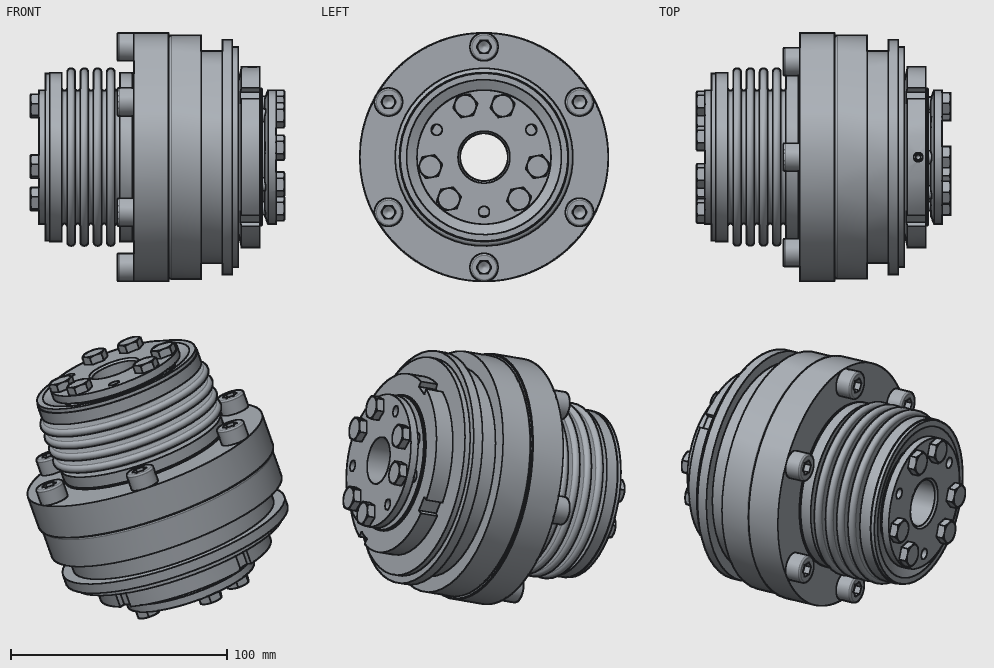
import cadquery as cq
import math

LENGTH = 117.5

HEAD_HEIGHT = 3.9
HEAD_FLATS = 10.0
HEAD_CHAMFER_ANGLE = 30
SCREW_DIAMETER = 6.0
SCREW_CIRCLE_RADIUS = 25.3
SCREW_ENGAGEMENT = 4.7
DISC_RADIUS = 31.0
DISC_RIM_WIDTH = 3.8
DISC_BACK_RADIUS = 27.3
DISC_BACK_TAPER = 1.4
JACK_HOLE_DIAMETER = 5.0
STEP_ANGLE = 40
LEFT_FIRST_ANGLE = 20
RIGHT_FIRST_ANGLE = 0
LEFT_HEX_TURN = -10
RIGHT_HEX_TURN = 30

SLEEVE_RADIUS = 20.7
BORE_DIAMETER = 22.0
BORE_CHAMFER = 1.0

HUB_START = 6.9
HUB_STEP = 8.8
HUB_END = 14.6
HUB_RADIUS = 39.1
HUB_LIP_RADIUS = 38.8
RECESS_MOUTH_RADIUS = 35.8
RECESS_FLOOR_RADIUS = 27.3
RECESS_DEPTH = 3.6

WAVE_COUNT = 4
CREST_BEND = 1.9
ROOT_BEND = 1.2
CREST_RADIUS = 41.1
ROOT_RADIUS = 30.8
BELLOWS_END = HUB_END + 2 * WAVE_COUNT * CREST_BEND + 2 * (WAVE_COUNT + 1) * ROOT_BEND

COLLAR_END = 47.0
FLANGE_START = 47.8
FLANGE_END = 64.0
FLANGE_RADIUS = 115.0 / 2
FLANGE_CHAMFER = 0.4
DRUM_END = 79.0
DRUM_RADIUS = 56.4
DRUM_FILLET = 1.0
NECK_END = 88.7
NECK_RADIUS = 49.1
PLATE_END = 93.4
PLATE_RADIUS = 54.4
COVER_END = 96.1
COVER_RADIUS = 51.0

NUT_START = 97.5
NUT_END = 106.1
NUT_RADIUS = 41.8
NUT_CONE_SMALL_RADIUS = 35.0
NUT_CONE_LARGE_RADIUS = 41.2
NUT_SLOT_COUNT = 4
NUT_SLOT_WIDTH = 7.2
NUT_SLOT_DEPTH = 2.9
SPIGOT_END = 107.2
SPIGOT_RADIUS = 31.8
SPIGOT_CHAMFER = 0.5
GRUB_POSITION = 102.6
GRUB_DIAMETER = 4.2
GRUB_RECESS = 0.2
GRUB_SOCKET_FLATS = 2.5
GRUB_SOCKET_DEPTH = 1.4

FLANGE_SCREW_COUNT = 6
CAP_DIAMETER = 13.0
CAP_HEIGHT = 7.6
CAP_FILLET = 0.8
CAP_CIRCLE_RADIUS = FLANGE_RADIUS - CAP_DIAMETER / 2
CAP_SOCKET_FLATS = 6.0
CAP_SOCKET_DEPTH = 3.5

DRILL_POINT_ANGLE = 118


def plane_across(x, y=0.0, z=0.0):
    """Plane facing +X, with its local x axis along +Y and its local y axis along +Z."""
    return cq.Plane(origin=(x, y, z), xDir=(0, 1, 0), normal=(1, 0, 0))


def cylinder(start, end, radius, y=0.0, z=0.0):
    return cq.Workplane(plane_across(start, y, z)).circle(radius).extrude(end - start)


def cone(start, end, start_radius, end_radius):
    profile = [(start, 0), (start, start_radius), (end, end_radius), (end, 0)]
    return cq.Workplane("XY").polyline(profile).close().revolve(360, (0, 0, 0), (1, 0, 0))


def on_circle(radius, angle):
    """Y and Z of a place on a bolt circle, with the angle measured from +Z toward +Y."""
    turn = math.radians(angle)
    return radius * math.sin(turn), radius * math.cos(turn)


def hexagon_corners(flats):
    """Width across the corners of a hexagon, from its width across the flats."""
    return flats / math.cos(math.radians(30))


def hex_socket(plane, flats, depth):
    """Hexagonal hole cut along the plane's normal, ending in a drill point."""
    point_depth = flats / 2 / math.tan(math.radians(DRILL_POINT_ANGLE / 2))
    hexagon = cq.Workplane(plane).polygon(6, hexagon_corners(flats)).extrude(depth)
    point = cq.Solid.makeCone(
        flats / 2, 0, point_depth, plane.origin + plane.zDir * depth, plane.zDir
    )
    return hexagon.union(cq.Workplane(point))


def bellows():
    crest_line = CREST_RADIUS - CREST_BEND
    root_line = ROOT_RADIUS + ROOT_BEND
    x = HUB_END
    outline = cq.Workplane("XY").moveTo(x, 0).lineTo(x, root_line)
    for wave in range(WAVE_COUNT + 1):
        outline = outline.threePointArc((x + ROOT_BEND, ROOT_RADIUS), (x + 2 * ROOT_BEND, root_line))
        x += 2 * ROOT_BEND
        if wave < WAVE_COUNT:
            outline = outline.lineTo(x, crest_line)
            crest_end = (x + 2 * CREST_BEND, crest_line)
            outline = outline.threePointArc((x + CREST_BEND, CREST_RADIUS), crest_end)
            x += 2 * CREST_BEND
            outline = outline.lineTo(x, root_line)
    return outline.lineTo(x, 0).close().revolve(360, (0, 0, 0), (1, 0, 0))


def hub():
    body = cylinder(HUB_START, HUB_STEP, HUB_LIP_RADIUS).union(cylinder(HUB_STEP, HUB_END, HUB_RADIUS))
    floor = HUB_START + RECESS_DEPTH
    return body.cut(cone(HUB_START, floor, RECESS_MOUTH_RADIUS, RECESS_FLOOR_RADIUS))


def housing():
    body = cylinder(BELLOWS_END, COLLAR_END, HUB_RADIUS)
    collar_lip = cylinder(COLLAR_END, FLANGE_START, HUB_LIP_RADIUS)
    flange = cylinder(FLANGE_START, FLANGE_END, FLANGE_RADIUS).faces(">X").chamfer(FLANGE_CHAMFER)
    drum = cylinder(FLANGE_END, DRUM_END, DRUM_RADIUS).faces("<X").edges().fillet(DRUM_FILLET)
    neck = cylinder(DRUM_END, NECK_END, NECK_RADIUS)
    plate = cylinder(NECK_END, PLATE_END, PLATE_RADIUS)
    cover = cylinder(PLATE_END, COVER_END, COVER_RADIUS)
    for section in (collar_lip, flange, drum, neck, plate, cover):
        body = body.union(section)
    return body


def nut():
    body = cylinder(NUT_START, NUT_END, NUT_RADIUS)
    body = body.union(cone(COVER_END, NUT_START, NUT_CONE_SMALL_RADIUS, NUT_CONE_LARGE_RADIUS))
    slot = cq.Workplane("XY").box(
        NUT_END - COVER_END, NUT_SLOT_WIDTH, 2 * NUT_SLOT_DEPTH, centered=(False, True, True)
    ).translate((COVER_END, 0, NUT_RADIUS))
    for index in range(NUT_SLOT_COUNT):
        angle = (index + 0.5) * 360 / NUT_SLOT_COUNT
        body = body.cut(slot.rotate((0, 0, 0), (1, 0, 0), angle))
    spigot = cylinder(NUT_END, SPIGOT_END, SPIGOT_RADIUS).faces(">X").chamfer(SPIGOT_CHAMFER)
    return cut_grub_screw(body).union(spigot)


def cut_grub_screw(body):
    """Sunk end of the grub screw at the top of the nut, with its socket."""
    seat = cq.Plane(origin=(GRUB_POSITION, 0, NUT_RADIUS - GRUB_RECESS), xDir=(0, 1, 0), normal=(0, 0, -1))
    recess = cq.Workplane(seat).circle(GRUB_DIAMETER / 2).extrude(-2 * GRUB_RECESS)
    return body.cut(recess).cut(hex_socket(seat, GRUB_SOCKET_FLATS, GRUB_SOCKET_DEPTH))


def clamping_disc(first_angle, hex_turn):
    """Left-hand clamping disc with its screws: each jacking hole lies between two pairs of screws."""
    rim_end = HEAD_HEIGHT + DISC_RIM_WIDTH
    back = rim_end + DISC_BACK_TAPER
    disc = cylinder(HEAD_HEIGHT, rim_end, DISC_RADIUS)
    disc = disc.union(cone(rim_end, back, DISC_RADIUS, DISC_BACK_RADIUS))
    flare = HEAD_HEIGHT / math.tan(math.radians(HEAD_CHAMFER_ANGLE))
    head = (
        cq.Workplane(plane_across(0))
        .polygon(6, hexagon_corners(HEAD_FLATS))
        .extrude(HEAD_HEIGHT)
        .rotate((0, 0, 0), (1, 0, 0), hex_turn)
        .intersect(cone(0, HEAD_HEIGHT, HEAD_FLATS / 2, HEAD_FLATS / 2 + flare))
    )
    shank = cylinder(HEAD_HEIGHT, back + SCREW_ENGAGEMENT, SCREW_DIAMETER / 2)
    for place in range(360 // STEP_ANGLE):
        y, z = on_circle(SCREW_CIRCLE_RADIUS, first_angle + place * STEP_ANGLE)
        if place % 3 == 1:
            disc = disc.cut(cylinder(HEAD_HEIGHT, back, JACK_HOLE_DIAMETER / 2, y, z))
        else:
            disc = disc.union(head.union(shank).translate((0, y, z)))
    return disc


def flange_screws():
    start = FLANGE_START - CAP_HEIGHT
    screw = cylinder(start, FLANGE_START, CAP_DIAMETER / 2).faces("<X").edges().fillet(CAP_FILLET)
    screw = screw.cut(hex_socket(plane_across(start), CAP_SOCKET_FLATS, CAP_SOCKET_DEPTH))
    screws = []
    for index in range(FLANGE_SCREW_COUNT):
        y, z = on_circle(CAP_CIRCLE_RADIUS, index * 360 / FLANGE_SCREW_COUNT)
        screws.append(screw.translate((0, y, z)))
    return screws


left_disc = clamping_disc(LEFT_FIRST_ANGLE, LEFT_HEX_TURN)
right_disc = clamping_disc(RIGHT_FIRST_ANGLE, RIGHT_HEX_TURN).mirror("YZ").translate((LENGTH, 0, 0))
sleeve = cylinder(HEAD_HEIGHT, LENGTH - HEAD_HEIGHT, SLEEVE_RADIUS)
bore_radius = BORE_DIAMETER / 2
bore = cylinder(HEAD_HEIGHT, LENGTH - HEAD_HEIGHT, bore_radius)
chamfered_mouth = cone(HEAD_HEIGHT, HEAD_HEIGHT + BORE_CHAMFER, bore_radius + BORE_CHAMFER, bore_radius)

result = hub().union(bellows()).union(housing()).union(nut())
result = result.union(sleeve).union(left_disc).union(right_disc)
for flange_screw in flange_screws():
    result = result.union(flange_screw)
result = result.cut(bore).cut(chamfered_mouth)